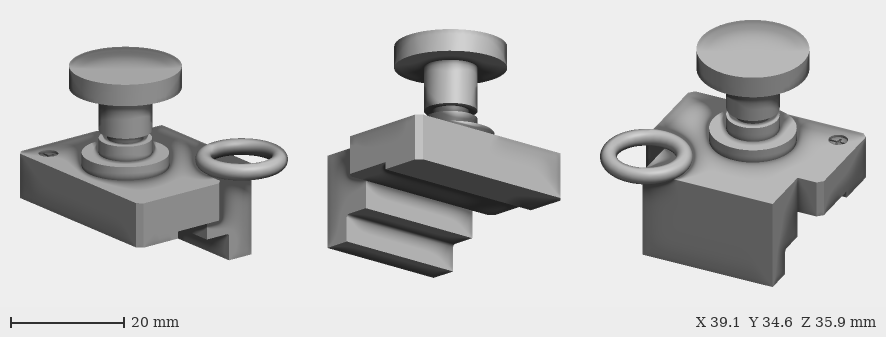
import cadquery as cq


plate_width = 35.02
plate_depth = 18.95
plate_height = 8.33
plate_front = -10.7
plate_chamfer = 0.98
front_lip_depth = 8.75
underside_relief = 1.33

block_width = 25.6
block_depth = 10.1
step_height = 12.1
foot_height = 17.12
foot_depth = 5.1
foot_fillet = 0.5

screw_x = -13.53
screw_y = -6.7
screw_diameter = 3.5
screw_recess = 0.45
slot_width = 0.5
short_slot_length = 2.3
slot_center_side = 1.05
slot_depth = 0.3

flange_diameter = 15.5
flange_height = 2.5
shaft_diameter = 9.5
collar_height = 2.78
neck_diameter = 6.45
neck_height = 1.5
grip_height = 8.0
head_diameter = 20.0
head_height = 4.03

ring_x = 13.35
ring_y = 15.65
ring_outer_radius = 8.2
ring_wire_radius = 1.5

plate_back = plate_front + plate_depth
block_back = plate_back + block_depth


def make_plate():
    """Chamfered plate whose underside is relieved behind the front lip."""
    plate = (
        cq.Workplane("XY")
        .center(0, plate_front + plate_depth / 2)
        .rect(plate_width, plate_depth)
        .extrude(-plate_height)
        .edges("|Z")
        .chamfer(plate_chamfer)
    )
    relief_depth = plate_depth - front_lip_depth
    relief = (
        cq.Workplane("XY", origin=(0, plate_back - relief_depth / 2, -plate_height))
        .rect(plate_width, relief_depth)
        .extrude(underside_relief)
    )
    return plate.cut(relief)


def make_block():
    """Rear block with a narrower foot and a fillet in the step corner."""
    foot_front = block_back - foot_depth
    return (
        cq.Workplane("YZ")
        .moveTo(plate_back, 0)
        .lineTo(block_back, 0)
        .lineTo(block_back, -foot_height)
        .lineTo(foot_front, -foot_height)
        .lineTo(foot_front, -step_height - foot_fillet)
        .radiusArc((foot_front - foot_fillet, -step_height), -foot_fillet)
        .lineTo(plate_back, -step_height)
        .close()
        .extrude(block_width / 2, both=True)
    )


def make_screw_recess():
    """Volume of the round recess and the crossed slots in its floor."""
    recess = cq.Workplane("XY").circle(screw_diameter / 2).extrude(-screw_recess)
    floor = cq.Workplane("XY").workplane(offset=-screw_recess)
    long_slot = (
        floor.rect(screw_diameter, slot_width)
        .extrude(-slot_depth)
        .intersect(floor.circle(screw_diameter / 2).extrude(-slot_depth))
    )
    short_slot = floor.rect(slot_width, short_slot_length).extrude(-slot_depth)
    slot_center = (
        floor.rect(slot_center_side, slot_center_side)
        .extrude(-slot_depth)
        .rotate((0, 0, 0), (0, 0, 1), 45)
    )
    slots = long_slot.union(short_slot).union(slot_center)
    return recess.union(slots).translate((screw_x, screw_y, 0))


def make_housing():
    return make_plate().union(make_block()).cut(make_screw_recess())


def make_knob():
    """Coaxial cylinders stacked from the housing top."""
    sections = [
        (flange_diameter, flange_height),
        (shaft_diameter, collar_height),
        (neck_diameter, neck_height),
        (shaft_diameter, grip_height),
        (head_diameter, head_height),
    ]
    knob = cq.Workplane("XY")
    base = 0
    for diameter, height in sections:
        section = cq.Workplane("XY").workplane(offset=base).circle(diameter / 2).extrude(height)
        knob = knob.union(section)
        base += height
    return knob


def make_ring():
    """Torus resting on the housing top."""
    center = cq.Vector(ring_x, ring_y, ring_wire_radius)
    axis = cq.Vector(0, 0, 1)
    return cq.Solid.makeTorus(ring_outer_radius - ring_wire_radius, ring_wire_radius, center, axis)


housing = make_housing()
knob = make_knob()
ring = make_ring()

result = cq.Compound.makeCompound([housing.val(), knob.val(), ring])